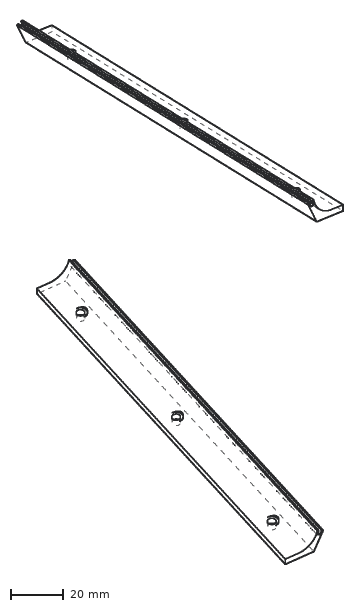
import cadquery as cq
import math

length = 176.0
depth = 17.2
height = 10.4

base_thickness = 2.8
flat_width = 6.9
lip_angle = math.radians(65)
lip_thickness = 3.0
arc_sagitta = 1.8
groove_width = 1.4
groove_depth = 2.0

hole_diameter = 3.3
counterbore_diameter = 5.5
hole_spacing = 67.8

along = (-math.cos(lip_angle), math.sin(lip_angle))
across = (-math.sin(lip_angle), -math.cos(lip_angle))


def offset(point, lengthwise, crosswise):
    """Move a profile point up the lip slope and across its thickness."""
    return tuple(p + lengthwise * a + crosswise * c for p, a, c in zip(point, along, across))


outer_tip = (-depth, height - lip_thickness * math.cos(lip_angle))
inner_tip = offset(outer_tip, 0, -lip_thickness)
heel = (outer_tip[0] + outer_tip[1] / math.tan(lip_angle), 0)

flat_edge = (-flat_width, base_thickness)
chord_y = inner_tip[0] - flat_edge[0]
chord_z = inner_tip[1] - flat_edge[1]
chord = math.hypot(chord_y, chord_z)
arc_middle = (
    flat_edge[0] + chord_y / 2 - arc_sagitta * chord_z / chord,
    flat_edge[1] + chord_z / 2 + arc_sagitta * chord_y / chord,
)

prong_thickness = (lip_thickness - groove_width) / 2
groove_outer_edge = offset(outer_tip, 0, -prong_thickness)
groove_inner_edge = offset(inner_tip, 0, prong_thickness)

rail = (
    cq.Workplane("YZ")
    .moveTo(0, 0)
    .lineTo(*heel)
    .lineTo(*outer_tip)
    .lineTo(*groove_outer_edge)
    .lineTo(*offset(groove_outer_edge, -groove_depth, 0))
    .lineTo(*offset(groove_inner_edge, -groove_depth, 0))
    .lineTo(*groove_inner_edge)
    .lineTo(*inner_tip)
    .threePointArc(arc_middle, flat_edge)
    .lineTo(0, base_thickness)
    .close()
    .extrude(length / 2, both=True)
)


def cylinders(diameter, bottom, top):
    """One vertical cylinder at each screw position, along the edge of the flat."""
    positions = [(i * hole_spacing, -flat_width) for i in (-1, 0, 1)]
    return (
        cq.Workplane("XY")
        .workplane(offset=bottom)
        .pushPoints(positions)
        .circle(diameter / 2)
        .extrude(top - bottom)
    )


through_holes = cylinders(hole_diameter, 0, height)
counterbores = cylinders(counterbore_diameter, base_thickness, height)
result = rail.cut(through_holes).cut(counterbores)